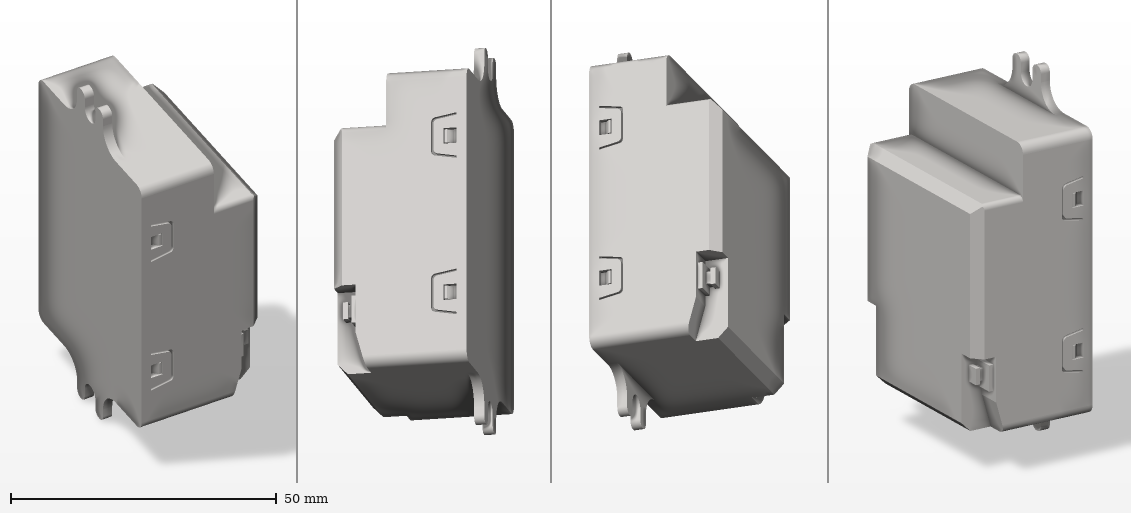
import cadquery as cq
import math

width = 40.0
total_depth = 26.0
total_height = 73.5
body_height = 57.4
body_depth = 15.5
corner_radius = 2.0

block_top = 18.3
block_top_radius = 1.1
block_chamfer = 2.0

ear_thickness = 2.0
fork_width = 10.0
fork_slot_width = 4.1
fork_slot_depth = 5.4
fork_tip_radius = 1.3
ear_root_radius = 5.0

recess_width = 5.0
recess_top = -12.7
shelf_depth = 21.45
shelf_bend = -21.9
shelf_foot_depth = 19.55

plate_inset = 0.95
plate_thickness = 0.95
plate_height = 5.3
plate_z = -17.2
key_z = -17.0
key_stem_height = 2.4
key_head_height = 3.3
key_stem_end = 23.45
key_head_end = 24.4
key_stem_inset = 3.1
key_head_inset = 2.5

tab_z = 15.3
tab_near = 2.0
groove_far = 6.8
groove_half_height = 3.6
groove_flare = math.radians(10)
groove_line = 0.45
groove_depth = 0.7
groove_radius = 0.9
window_length = 2.5
window_height = 3.0
window_depth = 1.2
latch_gap = 0.2
latch_flat = 0.45
latch_drop = 0.1
latch_slope_length = 1.1

half_width = width / 2
half_body = body_height / 2
bottom = -half_body


def box(x, y, z):
    """Box spanning the given (low, high) ranges."""
    size = [high - low for low, high in (x, y, z)]
    return cq.Workplane("XY").box(*size, centered=False).translate((x[0], y[0], z[0]))


def side_plane():
    """YZ plane on the -X wall whose extrusions run into the body."""
    return cq.Workplane("YZ", origin=(-half_width, 0, 0))


def both_sides(shape):
    """Shape together with its mirror image on the +X side."""
    return shape.union(shape.mirror("YZ"))


def make_body():
    body = box((-half_width, half_width), (0, body_depth), (bottom, half_body))
    return body.edges("|Y").fillet(corner_radius)


def make_front_block():
    spans = ((-half_width, half_width), (0, total_depth), (bottom, block_top))
    rounded = box(*spans)
    rounded = rounded.edges("|Y and <Z").fillet(corner_radius)
    rounded = rounded.edges("|Y and >Z").fillet(block_top_radius)
    chamfered = box(*spans).faces(">Y").chamfer(block_chamfer)
    return rounded.intersect(chamfered)


def make_ear():
    """Upper ear: concave flanks rising into two rounded prongs, rooted in the body."""
    fork_half = fork_width / 2
    slot_half = fork_slot_width / 2
    tip = total_height / 2
    root = half_body + ear_root_radius
    foot = fork_half + ear_root_radius
    sweep = ear_root_radius * (1 - math.sqrt(0.5))
    slot_end = tip - fork_slot_depth
    ear = (
        cq.Workplane("XZ")
        .moveTo(-foot, half_body - corner_radius)
        .lineTo(-foot, half_body)
        .threePointArc((-fork_half - sweep, half_body + sweep), (-fork_half, root))
        .lineTo(-fork_half, tip)
        .lineTo(-slot_half, tip)
        .lineTo(-slot_half, slot_end + slot_half)
        .threePointArc((0, slot_end), (slot_half, slot_end + slot_half))
        .lineTo(slot_half, tip)
        .lineTo(fork_half, tip)
        .lineTo(fork_half, root)
        .threePointArc((fork_half + sweep, half_body + sweep), (foot, half_body))
        .lineTo(foot, half_body - corner_radius)
        .close()
        .extrude(-ear_thickness)
    )
    return ear.edges("|Y and >Z").fillet(fork_tip_radius)


def make_terminal_recess():
    return (
        side_plane()
        .polyline([
            (total_depth, recess_top),
            (shelf_depth, recess_top),
            (shelf_depth, shelf_bend),
            (shelf_foot_depth, bottom),
            (total_depth, bottom),
        ])
        .close()
        .extrude(recess_width)
    )


def make_terminal():
    wall = -half_width + recess_width

    def block(inset, y_low, y_high, z_middle, height):
        z_range = (z_middle - height / 2, z_middle + height / 2)
        return box((-half_width + inset, wall), (y_low, y_high), z_range)

    plate_end = shelf_depth + plate_thickness
    plate = block(plate_inset, shelf_depth, plate_end, plate_z, plate_height)
    stem = block(key_stem_inset, plate_end, key_stem_end, key_z, key_stem_height)
    head = block(key_head_inset, key_stem_end, key_head_end, key_z, key_head_height)
    return plate.union(stem).union(head)


def tab_outline(inset):
    """Flared tab prism, shrunk evenly by inset on its far and sloping sides."""
    far = groove_far - inset
    slope = math.tan(groove_flare)
    half_far = groove_half_height + inset * slope - inset / math.cos(groove_flare)
    half_near = half_far + (far - tab_near) * slope
    prism = (
        side_plane()
        .polyline([(tab_near, -half_near), (far, -half_far), (far, half_far), (tab_near, half_near)])
        .close()
        .extrude(groove_depth)
    )
    return prism.edges("|X and >Y").fillet(groove_radius)


def make_tab_cut():
    """Groove and latch window, leaving a sloping latch inside the window."""
    groove = tab_outline(0).cut(tab_outline(groove_line))
    window_far = tab_near + window_length
    window = box(
        (-half_width, -half_width + window_depth),
        (tab_near, window_far),
        (-window_height / 2, window_height / 2),
    )
    latch_top = -half_width + latch_drop
    latch_floor = -half_width + window_depth
    latch_far = window_far - latch_gap
    slope_start = latch_far - latch_flat
    latch = (
        cq.Workplane("XY")
        .polyline([
            (latch_top, latch_far),
            (latch_top, slope_start),
            (latch_floor, slope_start - latch_slope_length),
            (latch_floor, latch_far),
        ])
        .close()
        .extrude(window_height / 2 - latch_gap, both=True)
    )
    return groove.union(window.cut(latch))


ear = make_ear()
result = make_body().union(make_front_block()).union(ear).union(ear.mirror("XY"))
result = result.cut(both_sides(make_terminal_recess()))
result = result.union(both_sides(make_terminal()))

tab_cut = both_sides(make_tab_cut())
for z in (-tab_z, tab_z):
    result = result.cut(tab_cut.translate((0, 0, z)))